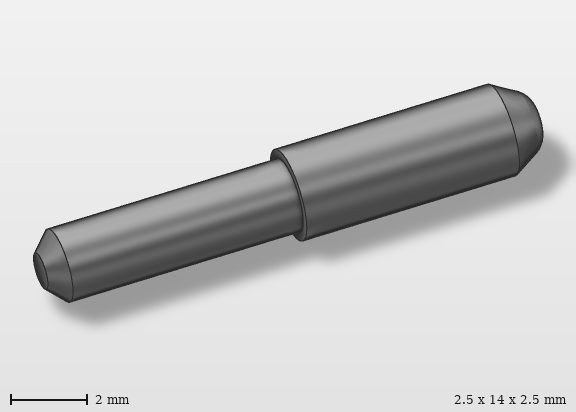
import cadquery as cq
import math

total_length = 14.0
body_length = 7.0
body_diameter = 2.5
shank_diameter = 2.0
shank_chamfer = 0.5

taper_length = 1.0
taper_angle = math.radians(30)
tip_round = 0.6

body_radius = body_diameter / 2
shank_radius = shank_diameter / 2
shank_end = -total_length / 2
body_end = total_length / 2
shoulder = body_end - body_length

tip_center_y = body_end - tip_round
tangent_y = tip_center_y + tip_round * math.sin(taper_angle)
taper_start = body_end - taper_length
tangent_radius = body_radius - (tangent_y - taper_start) * math.tan(taper_angle)
tip_center_radius = tangent_radius - tip_round * math.cos(taper_angle)
mid_angle = (taper_angle + math.pi / 2) / 2
arc_middle = (
    tip_center_radius + tip_round * math.cos(mid_angle),
    tip_center_y + tip_round * math.sin(mid_angle),
)

profile = (
    cq.Workplane("XY")
    .moveTo(0, shank_end)
    .lineTo(shank_radius - shank_chamfer, shank_end)
    .lineTo(shank_radius, shank_end + shank_chamfer)
    .lineTo(shank_radius, shoulder)
    .lineTo(body_radius, shoulder)
    .lineTo(body_radius, taper_start)
    .lineTo(tangent_radius, tangent_y)
    .threePointArc(arc_middle, (tip_center_radius, body_end))
    .lineTo(0, body_end)
    .close()
)

result = profile.revolve(360, (0, 0, 0), (0, 1, 0))